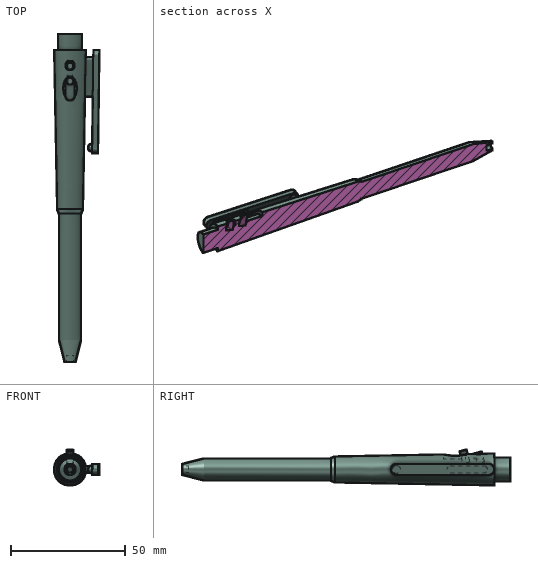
import cadquery as cq
import math

LENGTH = 143.7

TIP_RADIUS = 2.5
NOSE_LENGTH = 9.6
GRIP_RADIUS = 4.9
BARREL_FRONT_Y = 65.1
BARREL_BEVEL_LENGTH = 1.9
BARREL_BEVEL_RADIUS = 5.0
BARREL_FRONT_RADIUS = 5.7
BARREL_REAR_RADIUS = 7.0
REAR_STUB_LENGTH = 7.0
REAR_STUB_RADIUS = 5.3
BARREL_REAR_Y = LENGTH - REAR_STUB_LENGTH

TIP_HOLE_RADIUS = 1.5
TIP_HOLE_DEPTH = 2.9

OPENING_RADIUS = 2.0
OPENING_FLOOR_Z = 4.6
BUTTON_HOLE_Y = 130.0
SLOT_FRONT_Y = 114.5
SLOT_REAR_Y = 124.9
SLOT_LENGTH = SLOT_REAR_Y - SLOT_FRONT_Y

DISH_Y = (SLOT_FRONT_Y + SLOT_REAR_Y) / 2
DISH_RADIUS = 10.9
DISH_BOTTOM_Z = 5.6

PEG_RADIUS = 1.6
PEG_TILT = 15.0
PEG_FOOT_Z = 2.9
BUTTON_TOP_Y = 129.6
BUTTON_TOP_Z = 7.5
SLIDER_TOP_Y = 123.0
SLIDER_TOP_Z = 8.3

CLIP_WIDTH = 4.9
CLIP_THICKNESS = 2.7
CLIP_OUTER_X = 13.0
CLIP_LENGTH = 45.3
CLIP_TILT = 0.8
NECK_WIDTH = 3.0
NECK_FRONT_Y = 116.0
NECK_REAR_Y = 133.7
NECK_LENGTH = NECK_REAR_Y - NECK_FRONT_Y
NECK_OUTER_X = CLIP_OUTER_X - CLIP_THICKNESS / 2
NECK_INNER_X = BARREL_FRONT_RADIUS
BALL_RADIUS = 1.7
BALL_HEIGHT = 1.7


def turned_pen():
    """Nose, grip, tapered barrel and rear stub in one revolved profile."""
    profile = [
        (0, 0),
        (0, TIP_RADIUS),
        (NOSE_LENGTH, GRIP_RADIUS),
        (BARREL_FRONT_Y, GRIP_RADIUS),
        (BARREL_FRONT_Y, BARREL_BEVEL_RADIUS),
        (BARREL_FRONT_Y + BARREL_BEVEL_LENGTH, BARREL_FRONT_RADIUS),
        (BARREL_REAR_Y, BARREL_REAR_RADIUS),
        (BARREL_REAR_Y, REAR_STUB_RADIUS),
        (LENGTH, REAR_STUB_RADIUS),
        (LENGTH, 0),
    ]
    return cq.Workplane("YZ").polyline(profile).close().revolve(360, (0, 0), (1, 0))


def tip_hole():
    return cq.Workplane("XZ").circle(TIP_HOLE_RADIUS).extrude(-TIP_HOLE_DEPTH)


def barrel_openings():
    """Button hole, slider slot and the thumb dish around the slot."""
    height = BARREL_REAR_RADIUS - OPENING_FLOOR_Z
    floor = cq.Workplane("XY").workplane(offset=OPENING_FLOOR_Z)
    hole = floor.center(0, BUTTON_HOLE_Y).circle(OPENING_RADIUS).extrude(height)
    slot = floor.center(0, DISH_Y).slot2D(SLOT_LENGTH, 2 * OPENING_RADIUS, 90).extrude(height)
    dish = cq.Workplane("XY").sphere(DISH_RADIUS).translate((0, DISH_Y, DISH_BOTTOM_Z + DISH_RADIUS))
    return hole.union(slot).union(dish)


def clip():
    """Bar, ball and neck; the bar's outer rear edge is the pivot of its tilt."""
    inner_x = CLIP_OUTER_X - CLIP_THICKNESS
    bar = (
        cq.Workplane("YZ", origin=(inner_x, BARREL_REAR_Y - CLIP_LENGTH / 2, 0))
        .slot2D(CLIP_LENGTH, CLIP_WIDTH)
        .extrude(CLIP_THICKNESS)
    )
    ball_y = BARREL_REAR_Y - CLIP_LENGTH + CLIP_WIDTH / 2
    ball = cq.Workplane("XY").sphere(BALL_RADIUS).translate((inner_x - BALL_HEIGHT + BALL_RADIUS, ball_y, 0))
    pivot = (CLIP_OUTER_X, BARREL_REAR_Y, 0)
    pivot_end = (CLIP_OUTER_X, BARREL_REAR_Y, 1)
    tilted_bar = bar.union(ball).rotate(pivot, pivot_end, -CLIP_TILT)
    neck = (
        cq.Workplane("YZ", origin=(NECK_INNER_X, NECK_FRONT_Y + NECK_LENGTH / 2, 0))
        .slot2D(NECK_LENGTH, NECK_WIDTH)
        .extrude(NECK_OUTER_X - NECK_INNER_X)
    )
    return tilted_bar.union(neck)


def leaning_peg(top_y, top_z):
    """Round peg whose top centre is at the given Y and Z."""
    length = (top_z - PEG_FOOT_Z) / math.cos(math.radians(PEG_TILT))
    peg = cq.Workplane("XY").circle(PEG_RADIUS).extrude(-length)
    return peg.rotate((0, 0, 0), (1, 0, 0), PEG_TILT).translate((0, top_y, top_z))


button = leaning_peg(BUTTON_TOP_Y, BUTTON_TOP_Z)
slider = leaning_peg(SLIDER_TOP_Y, SLIDER_TOP_Z)

housing = turned_pen().union(clip()).cut(tip_hole()).cut(barrel_openings())
for peg in (button, slider):
    housing = housing.cut(peg)

result = cq.Compound.makeCompound([housing.val(), button.val(), slider.val()])